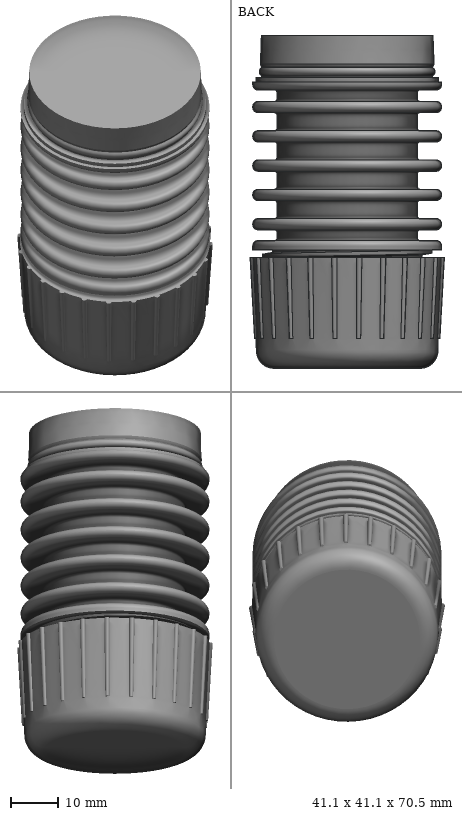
import cadquery as cq
import math

total_height = 70.5

cap_height = 23.5
cap_top_radius = 20.15
cap_side_radius = 19.25
cap_round_radius = 3.8
grip_count = 24
grip_start_height = 6.35
grip_top_radius = 0.58
grip_bottom_radius = 0.4
grip_start_angle = -7.8

thread_root_radius = 15.85
thread_crest_radius = 18.0
thread_pitch = 2.1
thread_crest_width = 0.8
thread_base_width = 1.6
thread_base_radius = 15.6
thread_mid_height_at_minus_x = 24.8
thread_turns = 3

core_radius = 14.9
core_fillet = 0.5
fin_radius = 20.0
fin_thickness = 2.4
fin_pitch = 6.2
full_fin_count = 5
top_full_fin_height = 55.35
bottom_fin_height = 25.9
bottom_fin_base = 25.1
top_fin_height = 60.15
top_fin_top = 60.6

collar_radius = 19.3
collar_top_height = 61.55
groove_radius = 18.1
groove_top_height = 63.8
plug_base_height = 64.45
plug_base_radius = 18.4
plug_top_radius = 18.2
seal_section_radius = 1.0
seal_centre_height = 62.8
seal_outer_radius = 18.6


COS_45 = math.cos(math.radians(45))


def disc(radius, base, height):
    return cq.Workplane("XY").workplane(offset=base).circle(radius).extrude(height)


def revolve_about_z(profile):
    return profile.close().revolve(360, (0, 0, 0), (0, 1, 0))


def make_cap():
    cap_floor_radius = cap_side_radius - cap_round_radius
    return revolve_about_z(
        cq.Workplane("XZ")
        .moveTo(0, 0)
        .lineTo(cap_floor_radius, 0)
        .threePointArc(
            (
                cap_floor_radius + cap_round_radius * COS_45,
                cap_round_radius * (1 - COS_45),
            ),
            (cap_side_radius, cap_round_radius),
        )
        .lineTo(cap_top_radius, cap_height)
        .lineTo(0, cap_height)
    )


def make_grip():
    slope = (cap_top_radius - cap_side_radius) / (cap_height - cap_round_radius)
    start_radius = cap_side_radius + slope * (grip_start_height - cap_round_radius)
    return (
        cq.Workplane("XY")
        .workplane(offset=grip_start_height)
        .center(start_radius, 0)
        .circle(grip_bottom_radius)
        .workplane(offset=cap_height - grip_start_height)
        .center(cap_top_radius - start_radius, 0)
        .circle(grip_top_radius)
        .loft(ruled=True)
    )


def make_thread():
    start_height = thread_mid_height_at_minus_x - 1.5 * thread_pitch
    path = cq.Wire.makeHelix(
        thread_pitch, thread_turns * thread_pitch, thread_base_radius, cq.Vector(0, 0, start_height)
    )
    ridge = (
        cq.Workplane("XZ")
        .polyline([
            (thread_base_radius, start_height - thread_base_width / 2),
            (thread_crest_radius, start_height - thread_crest_width / 2),
            (thread_crest_radius, start_height + thread_crest_width / 2),
            (thread_base_radius, start_height + thread_base_width / 2),
        ])
        .close()
        .sweep(cq.Workplane(path), isFrenet=True)
    )
    gap = disc(fin_radius, cap_height, bottom_fin_base - cap_height)
    return ridge.intersect(gap)


def make_half_fin(mid_height, direction):
    rim_round = fin_thickness / 2
    rim_centre = fin_radius - rim_round
    fillet_centre = core_radius + core_fillet
    fillet_rise = rim_round + core_fillet

    def point(radius, rise):
        return (radius, mid_height + direction * rise)

    return revolve_about_z(
        cq.Workplane("XZ")
        .moveTo(*point(0, 0))
        .lineTo(*point(fin_radius, 0))
        .threePointArc(
            point(rim_centre + rim_round * COS_45, rim_round * COS_45),
            point(rim_centre, rim_round),
        )
        .lineTo(*point(fillet_centre, rim_round))
        .threePointArc(
            point(fillet_centre - core_fillet * COS_45, fillet_rise - core_fillet * COS_45),
            point(core_radius, fillet_rise),
        )
        .lineTo(*point(0, fillet_rise))
    )


def make_bellows():
    bellows = disc(core_radius, bottom_fin_base, top_fin_top - bottom_fin_base)
    for index in range(full_fin_count):
        fin_height = top_full_fin_height - index * fin_pitch
        bellows = bellows.union(make_half_fin(fin_height, 1)).union(make_half_fin(fin_height, -1))

    bottom_fin = disc(fin_radius, bottom_fin_base, bottom_fin_height - bottom_fin_base)
    top_fin = disc(fin_radius, top_fin_height, top_fin_top - top_fin_height)
    bellows = bellows.union(bottom_fin).union(make_half_fin(bottom_fin_height, 1))
    return bellows.union(top_fin).union(make_half_fin(top_fin_height, -1))


def make_neck():
    return revolve_about_z(
        cq.Workplane("XZ")
        .moveTo(0, top_fin_top)
        .lineTo(collar_radius, top_fin_top)
        .lineTo(collar_radius, collar_top_height)
        .lineTo(groove_radius, collar_top_height)
        .lineTo(groove_radius, groove_top_height)
        .lineTo(plug_base_radius, plug_base_height)
        .lineTo(plug_top_radius, total_height)
        .lineTo(0, total_height)
    )


def make_seal():
    centre_radius = seal_outer_radius - seal_section_radius
    return (
        cq.Workplane("XZ")
        .center(centre_radius, seal_centre_height)
        .circle(seal_section_radius)
        .revolve(360, (-centre_radius, 0, 0), (-centre_radius, 1, 0))
    )


cap = make_cap()
grip = make_grip()
for index in range(grip_count):
    cap = cap.union(grip.rotate((0, 0, 0), (0, 0, 1), grip_start_angle + index * 360 / grip_count))

thread_root = disc(thread_root_radius, cap_height, bottom_fin_base - cap_height)
thread = thread_root.union(make_thread())

neck = make_neck().union(make_seal())

result = cap.union(thread).union(make_bellows()).union(neck)